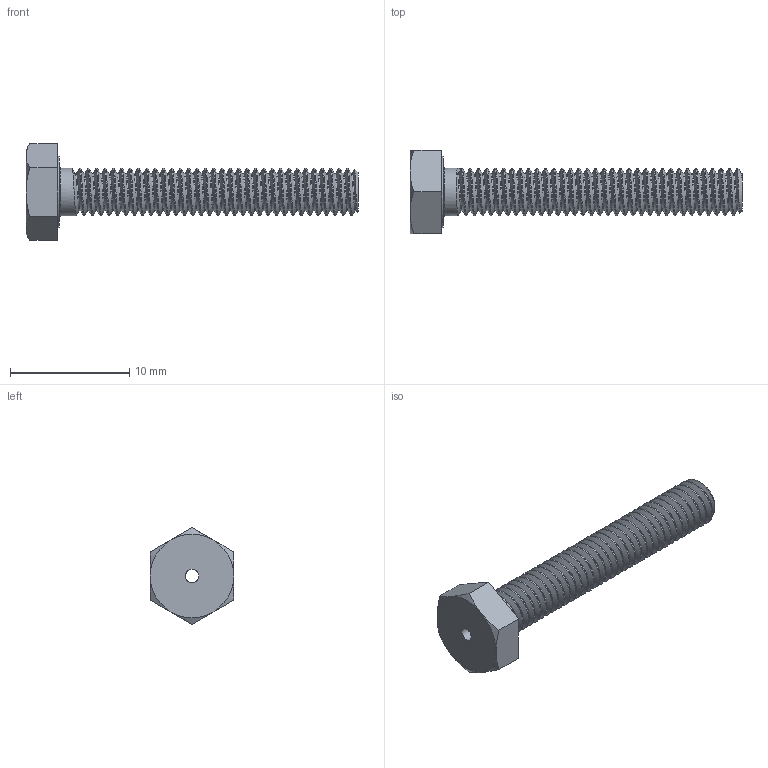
import cadquery as cq
import math

shank_diameter = 4.0
shank_length = 25.0
hexagon_sides = 6
across_flats = 7.0
head_height = 2.8
head_chamfer_angle = 30.0
washer_face_diameter = 6.0
washer_face_height = 0.15
underhead_fillet = 0.1
bore_diameter = 1.1

pitch = 0.7
groove_start = 1.19
plain_length = 1.12
crest_width = pitch / 8
flank_half_angle = 30.0
thread_depth = 0.6134 * pitch
groove_overshoot = 0.06
groove_runout = 0.45
tip_chamfer = 0.38
seam_angle = 61.0

shank_radius = shank_diameter / 2
bore_radius = bore_diameter / 2
minor_radius = shank_radius - thread_depth
corner_radius = across_flats / 2 / math.cos(math.pi / hexagon_sides)


def revolve_about_axis(profile):
    """Turn a closed profile, drawn in the XY plane, about the bolt axis."""
    return profile.close().revolve(360, (0, 0, 0), (1, 0, 0))


def make_head():
    """Hexagonal head with corners toward +Z and -Z, and a cone across its outer corners."""
    hexagon = (
        cq.Workplane("YZ", origin=(-head_height, 0, 0))
        .transformed(rotate=(0, 0, 90))
        .polygon(hexagon_sides, 2 * corner_radius)
        .extrude(head_height - washer_face_height)
    )
    chamfer_depth = (corner_radius - across_flats / 2) * math.tan(math.radians(head_chamfer_angle))
    chamfer_envelope = revolve_about_axis(
        cq.Workplane("XY")
        .moveTo(-head_height, 0)
        .lineTo(-head_height, across_flats / 2)
        .lineTo(-head_height + chamfer_depth, corner_radius)
        .lineTo(0, corner_radius)
        .lineTo(0, 0)
    )
    washer_face = (
        cq.Workplane("YZ", origin=(-washer_face_height, 0, 0))
        .circle(washer_face_diameter / 2)
        .extrude(washer_face_height)
    )
    return hexagon.intersect(chamfer_envelope).union(washer_face)


def make_bore():
    """Small hole through the head, in line with the hollow of the shank."""
    return cq.Workplane("YZ", origin=(-head_height, 0, 0)).circle(bore_radius).extrude(head_height)


def make_shank():
    """Hollow round shank with a fillet under the head and a chamfered tip."""
    arc_offset = underhead_fillet * (1 - math.sqrt(0.5))
    shank = revolve_about_axis(
        cq.Workplane("XY")
        .moveTo(0, bore_radius)
        .lineTo(0, shank_radius + underhead_fillet)
        .threePointArc((arc_offset, shank_radius + arc_offset), (underhead_fillet, shank_radius))
        .lineTo(shank_length - tip_chamfer, shank_radius)
        .lineTo(shank_length, shank_radius - tip_chamfer)
        .lineTo(shank_length, bore_radius)
    )
    return shank.rotate((0, 0, 0), (1, 0, 0), seam_angle)


def make_thread_groove():
    """Trapezoidal groove, cut off flat at the plain length and running out past the tip."""
    flank_slope = math.tan(math.radians(flank_half_angle))
    half_mouth = (pitch - crest_width) / 2
    half_outer = half_mouth + groove_overshoot * flank_slope
    half_root = half_mouth - thread_depth * flank_slope
    outer_radius = shank_radius + groove_overshoot
    helix_length = shank_length + groove_runout - groove_start
    helix = cq.Wire.makeHelix(pitch, helix_length, shank_radius)
    helix_plane = cq.Plane((groove_start, 0, 0), xDir=(0, 1, 0), normal=(1, 0, 0))
    groove = (
        cq.Workplane("XY", origin=(groove_start, 0, 0))
        .moveTo(-half_root, minor_radius)
        .lineTo(-half_outer, outer_radius)
        .lineTo(half_outer, outer_radius)
        .lineTo(half_root, minor_radius)
        .close()
        .sweep(cq.Workplane(helix.moved(cq.Location(helix_plane))), isFrenet=True)
    )
    plain_stretch = cq.Workplane("YZ").circle(shank_diameter).extrude(plain_length)
    return groove.cut(plain_stretch)


bored_head = make_head().cut(make_bore())
threaded_shank = make_shank().cut(make_thread_groove())
result = bored_head.union(threaded_shank).solids()